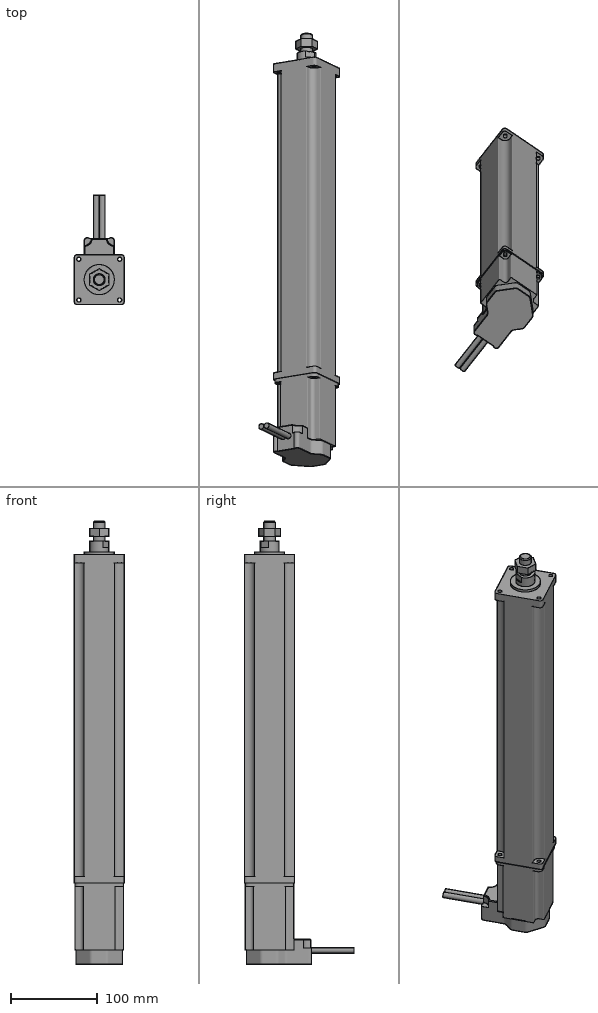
import cadquery as cq

MOTOR_CAP_TOP = 17.0
MOTOR_STACK_TOP = 90.0
MOTOR_TOP = 94.0
REAR_FLANGE_TOP = 102.0
FRONT_FLANGE_BOTTOM = 463.5
FRONT_FLANGE_TOP = 473.0
PILOT_TOP = 476.0
FLATS_BOTTOM = 481.5
ROD_TOP = 488.5
NUT_BOTTOM = 494.0
NUT_TOP = 503.5
THREAD_TOP = 511.5

OVERALL_DEPTH = 126.5

HOUSING_WIDTH = 58.0
FLANGE_CORNER_RADIUS = 3.5
LIP_RADIUS = 0.5
MOUNT_HOLE_OFFSET = 23.5
MOUNT_HOLE_DIAMETER = 4.5
HOUSING_RELIEF_RADIUS = 7.0
HOUSING_RELIEF_START = 17.5

PILOT_DIAMETER = 35.0
ROD_DIAMETER = 22.0
ROD_FLATS_WIDTH = 19.0
ROD_FLATS_ANGLE = -36
THREAD_DIAMETER = 14.0
THREAD_CHAMFER = 1.3
NUT_WIDTH = 22.0

MOTOR_WIDTH = 56.5
MOTOR_CORNER_RADIUS = 5.0
MOTOR_RELIEF_RADIUS = 4.0
MOTOR_RELIEF_START = 18.5
CAP_WIDTH = 53.5
CAP_CHAMFER = 17.5
CAP_EDGE_RADIUS = 5.0
BOTTOM_CHAMFER = 0.5

BLOCK_WIDTH = 35.0
BLOCK_END = 47.5
BLOCK_TOP = 29.5
LUG_TOP = 19.5
LUG_DIAMETER = 7.0
LUG_END = 48.5
NOTCH_RADIUS = 8.0
BLOCK_EDGE_CHAMFER = 1.0
CABLE_DIAMETER = 6.5
CABLE_SPACING = 7.0
CABLE_END = OVERALL_DEPTH - HOUSING_WIDTH / 2
CABLE_HEIGHT = 16.5


def square_prism(width, bottom, top):
    return cq.Workplane("XY").workplane(offset=bottom).rect(width, width).extrude(top - bottom)


def cylinder(diameter, bottom, top):
    return cq.Workplane("XY").workplane(offset=bottom).circle(diameter / 2).extrude(top - bottom)


def mount_holes(bottom, top):
    spacing = 2 * MOUNT_HOLE_OFFSET
    return (
        cq.Workplane("XY")
        .workplane(offset=bottom)
        .rect(spacing, spacing, forConstruction=True)
        .vertices()
        .circle(MOUNT_HOLE_DIAMETER / 2)
        .extrude(top - bottom)
    )


def relieved_prism(width, start, radius, bottom, top):
    """Square prism with a notch along each long edge, rounded inside, and with rounded lips."""
    prism = square_prism(width, bottom, top)
    notch_size = width - 2 * start
    for quarter in range(4):
        notch = square_prism(notch_size, bottom, top).edges("|Z").fillet(radius)
        notch = notch.translate((width / 2, width / 2, 0))
        prism = prism.cut(notch.rotate((0, 0, 0), (0, 0, 1), 90 * quarter))
    return prism.faces("<X or >X or <Y or >Y").edges("|Z").fillet(LIP_RADIUS)


def make_flange(bottom, top):
    flange = square_prism(HOUSING_WIDTH, bottom, top).edges("|Z").fillet(FLANGE_CORNER_RADIUS)
    return flange.cut(mount_holes(bottom, top))


def make_actuator():
    """Cylinder housing with its flanges, pilot boss, rod and thread."""
    profile = relieved_prism(
        HOUSING_WIDTH, HOUSING_RELIEF_START, HOUSING_RELIEF_RADIUS, REAR_FLANGE_TOP, FRONT_FLANGE_BOTTOM
    )
    housing = profile.union(make_flange(MOTOR_TOP, REAR_FLANGE_TOP))
    housing = housing.union(make_flange(FRONT_FLANGE_BOTTOM, FRONT_FLANGE_TOP))
    pilot = cylinder(PILOT_DIAMETER, FRONT_FLANGE_TOP, PILOT_TOP)
    return housing.union(pilot).union(make_rod())


def make_rod():
    """Rod end with two wrench flats, carrying the chamfered thread."""
    shoulder = cylinder(ROD_DIAMETER, PILOT_TOP, FLATS_BOTTOM)
    between_flats = (
        cq.Workplane("XY")
        .workplane(offset=FLATS_BOTTOM)
        .rect(ROD_FLATS_WIDTH, ROD_DIAMETER)
        .extrude(ROD_TOP - FLATS_BOTTOM)
        .rotate((0, 0, 0), (0, 0, 1), ROD_FLATS_ANGLE)
    )
    flats = cylinder(ROD_DIAMETER, FLATS_BOTTOM, ROD_TOP).intersect(between_flats)
    thread = cylinder(THREAD_DIAMETER, ROD_TOP, THREAD_TOP).faces(">Z").chamfer(THREAD_CHAMFER)
    return shoulder.union(flats).union(thread)


def make_nut():
    """Hexagon lock nut with two of its corners on the Y axis."""
    return (
        cq.Workplane("XY")
        .workplane(offset=NUT_BOTTOM)
        .polygon(6, NUT_WIDTH, circumscribed=True)
        .extrude(NUT_TOP - NUT_BOTTOM)
        .cut(cylinder(THREAD_DIAMETER, NUT_BOTTOM, NUT_TOP))
    )


def make_connector_block():
    """Block with a rounded notch and a screw lug at each outer corner."""
    block = cq.Workplane("XY").box(BLOCK_WIDTH, BLOCK_END, BLOCK_TOP, centered=(True, False, False))
    for side in (-1, 1):
        notch = cylinder(2 * NOTCH_RADIUS, LUG_TOP, BLOCK_TOP)
        block = block.cut(notch.translate((side * BLOCK_WIDTH / 2, BLOCK_END, 0)))
    block = block.faces(">Z").edges().chamfer(BLOCK_EDGE_CHAMFER)
    for side in (-1, 1):
        lug_x = side * (BLOCK_WIDTH - LUG_DIAMETER) / 2
        lug_y = LUG_END - LUG_DIAMETER / 2
        outer_corner = cq.Workplane("XY").rect(LUG_DIAMETER, LUG_DIAMETER).extrude(LUG_TOP)
        outer_corner = outer_corner.translate((side * BLOCK_WIDTH / 2, LUG_END, 0))
        lug = cylinder(LUG_DIAMETER, 0, LUG_TOP).translate((lug_x, lug_y, 0))
        block = block.cut(outer_corner).union(lug)
    return block


def make_cap():
    """Octagonal bottom cap of the motor, blended into the connector block."""
    cap = square_prism(CAP_WIDTH, 0, MOTOR_CAP_TOP).edges("|Z").chamfer(CAP_CHAMFER)
    cap = cap.edges("|Z").fillet(CAP_EDGE_RADIUS)
    cap = cap.union(make_connector_block())
    blend_y = CAP_WIDTH - CAP_CHAMFER - BLOCK_WIDTH / 2
    for side in (-1, 1):
        inner_corner = (side * BLOCK_WIDTH / 2, blend_y, MOTOR_CAP_TOP / 2)
        cap = cap.edges(cq.selectors.NearestToPointSelector(inner_corner)).fillet(CAP_EDGE_RADIUS)
    return cap.faces("<Z").edges().chamfer(BOTTOM_CHAMFER)


def make_cables():
    """Two parallel cables leaving the connector block along +Y."""
    offset = CABLE_SPACING / 2
    return (
        cq.Workplane("XZ", origin=(0, CABLE_END, CABLE_HEIGHT))
        .pushPoints([(-offset, 0), (offset, 0)])
        .circle(CABLE_DIAMETER / 2)
        .extrude(CABLE_END - BLOCK_END)
    )


def make_motor():
    """Motor plate and stack with the bottom cap, connector block and cables."""
    plate = square_prism(MOTOR_WIDTH, MOTOR_STACK_TOP, MOTOR_TOP).edges("|Z").fillet(MOTOR_CORNER_RADIUS)
    plate = plate.cut(mount_holes(MOTOR_STACK_TOP, MOTOR_TOP))
    stack = relieved_prism(
        MOTOR_WIDTH, MOTOR_RELIEF_START, MOTOR_RELIEF_RADIUS, MOTOR_CAP_TOP, MOTOR_STACK_TOP
    )
    return plate.union(stack).union(make_cap()).union(make_cables())


actuator = make_actuator()
nut = make_nut()
motor = make_motor()
result = cq.Compound.makeCompound([actuator.val(), nut.val(), motor.val()])